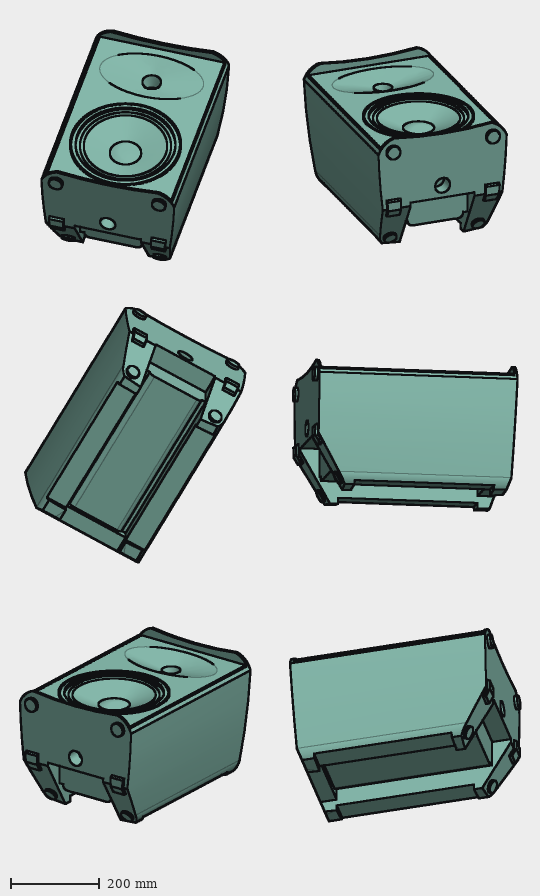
import cadquery as cq
import math

length = 455.0
height = 289.0
width = 312.0
half_width = width / 2
shoulder_z = 254.0
crest_x = 118.5
crest_dip = 7.5
hip_x = 132.5
hip_z = 31.5
sole_x = 121.5
sole_z = 5.0

shoulder_bulge = (141.0, 276.7)
side_bulge = (148.5, 141.5)
hip_bulge = (128.5, 15.2)

baffle_z = 266.0
front_plate = 4.5
rear_plate = 6.0
baffle_half_width = 146.5
groove_outer_x = 149.0
groove_depth = 2.5

slope_top_z = 116.0
slope_angle = 30.0
slope_run = math.tan(math.radians(slope_angle))
rear_taper = 9.5
rear_foot_taper = 11.0
rear_foot_lift = 1.5

channel_half_width = 77.5
channel_roof_z = 59.0
bridge_z = 29.5
rib_half_width = 67.5
rib_z = 46.0
rib_radius = 12.5
connector_top_z = 124.5
connector_depth = 44.0
front_foot_end = 86.5
rear_foot_start = 406.5
rail_z = 13.5

woofer_y = 147.0
frame_radius = 125.5
frame_gap = 3.0
frame_gap_depth = 3.0
surround_outer = 112.5
surround_middle = 103.0
surround_inner = 94.2
surround_depth = 6.5
roll_rise = 4.0
cap_radius = 35.5
cap_depth = 29.5
cap_rise = 9.2

horn_y = 363.5
mouth_half_x = 120.5
mouth_half_y = 64.5
throat_radius = 21.3
throat_depth = 19.5
throat_end_radius = 9.5
throat_length = 27.5

port_z = 154.5
port_radius = 18.0
port_depth = 37.0
top_pad_height = 7.0
top_pad_x = 121.0
top_pad_z = 256.5
top_pad_radius = 15.5
low_pad_x = 107.0
low_pad_z = 23.0
low_pad_radius = 15.0
low_pad_height = 5.5
bent_pad_height = 6.0
bent_pad_inner_x = 103.0
bent_pad_outer_x = 136.8
bent_pad_side_taper = 3.5
bent_pad_top_z = 139.0
bent_pad_low_z = 97.0
bent_pad_bevel = 3.2


def box(x0, x1, y0, y1, z0, z1):
    return cq.Workplane("XY").box(x1 - x0, y1 - y0, z1 - z0, centered=False).translate((x0, y0, z0))


def slope_y(z):
    """Y of the sloped lower front at height z."""
    return (slope_top_z - z) * slope_run


def cross_section():
    """Outline of the end plates over the whole length: the right half plus its mirror image."""
    crest_middle = (0, height - crest_dip)
    crest_radius = (crest_x ** 2 + crest_dip ** 2) / (2 * crest_dip)
    crest_mid_z = height - crest_dip + crest_radius - math.sqrt(crest_radius ** 2 - (crest_x / 2) ** 2)
    half = (
        cq.Workplane("XZ")
        .moveTo(*crest_middle)
        .threePointArc((crest_x / 2, crest_mid_z), (crest_x, height))
        .threePointArc(shoulder_bulge, (half_width, shoulder_z))
        .threePointArc(side_bulge, (hip_x, hip_z))
        .threePointArc(hip_bulge, (sole_x, sole_z))
        .lineTo(channel_half_width, 0)
        .lineTo(0, 0)
        .close()
        .extrude(-length)
    )
    return half.union(half.mirror("YZ"))


def side_profile():
    """Side outline: sloped lower front, tapered rear."""
    return (
        cq.Workplane("YZ")
        .polyline([
            (0, height),
            (0, slope_top_z),
            (slope_y(0), 0),
            (rear_foot_start, 0),
            (length - rear_taper - rear_foot_taper, rear_foot_lift),
            (length - rear_taper, hip_z),
            (length, shoulder_z),
            (length, height),
        ])
        .close()
        .extrude(half_width, both=True)
    )


def underside_cuts():
    """Central channel with a rounded rib on its roof, connector recess and gaps between the corner feet."""
    channel = box(-channel_half_width, channel_half_width, 0, rear_foot_start, 0, channel_roof_z)
    rib = (
        box(-rib_half_width, rib_half_width, connector_depth, rear_foot_start, rib_z, channel_roof_z)
        .edges("|Y and <Z")
        .fillet(rib_radius)
    )
    bridge_gap = box(-channel_half_width, channel_half_width, 0, length, 0, bridge_z)
    connector = box(-channel_half_width, channel_half_width, 0, connector_depth, 0, connector_top_z)
    rail_gap = box(-half_width, half_width, front_foot_end, rear_foot_start, 0, rail_z)
    return channel.cut(rib).union(bridge_gap).union(connector).union(rail_gap)


def baffle_cuts():
    """Space above the baffle, with a groove between it and each side wall."""
    y0 = front_plate
    y1 = length - rear_plate
    space = box(-groove_outer_x, groove_outer_x, y0, y1, baffle_z, height)
    for x0, x1 in ((-groove_outer_x, -baffle_half_width), (baffle_half_width, groove_outer_x)):
        space = space.union(box(x0, x1, y0, y1, baffle_z - groove_depth, height))
    return space


def woofer_cut():
    """Surround rolls, cone and domed dust cap, turned about the woofer axis."""
    roll_z = roll_rise - surround_depth
    outer_roll_radius = (surround_outer + surround_middle) / 2
    inner_roll_radius = (surround_middle + surround_inner) / 2
    cap_top_z = cap_rise - cap_depth
    cap_sphere_radius = (cap_radius ** 2 + cap_rise ** 2) / (2 * cap_rise)
    cap_mid_z = cap_top_z - cap_sphere_radius + math.sqrt(cap_sphere_radius ** 2 - (cap_radius / 2) ** 2)
    cavity = (
        cq.Workplane("XZ")
        .moveTo(0, 0)
        .lineTo(surround_outer, 0)
        .lineTo(surround_outer, -surround_depth)
        .threePointArc((outer_roll_radius, roll_z), (surround_middle, -surround_depth))
        .threePointArc((inner_roll_radius, roll_z), (surround_inner, -surround_depth))
        .lineTo(cap_radius, -cap_depth)
        .threePointArc((cap_radius / 2, cap_mid_z), (0, cap_top_z))
        .close()
        .revolve(360, (0, 0, 0), (0, 1, 0))
    )
    gap = (
        cq.Workplane("XY")
        .circle(frame_radius)
        .circle(frame_radius - frame_gap)
        .extrude(-frame_gap_depth)
    )
    return cavity.union(gap).translate((0, woofer_y, baffle_z))


def horn_cut():
    """Elliptical mouth narrowing to a round, tapered throat."""
    mouth = (
        cq.Workplane("XY")
        .ellipse(mouth_half_x, mouth_half_y)
        .workplane(offset=-throat_depth)
        .circle(throat_radius)
        .loft(ruled=True)
    )
    throat = (
        cq.Workplane("XY", origin=(0, 0, -throat_depth))
        .circle(throat_radius)
        .workplane(offset=-throat_length)
        .circle(throat_end_radius)
        .loft(ruled=True)
    )
    return mouth.union(throat).translate((0, horn_y, baffle_z))


def port_cut():
    """Blind round port in the front end."""
    return cq.Workplane("XZ", origin=(0, 0, port_z)).circle(port_radius).extrude(-port_depth)


def top_pad():
    """Round pad on an upper corner of the front end."""
    return cq.Workplane("XZ", origin=(top_pad_x, 0, top_pad_z)).circle(top_pad_radius).extrude(top_pad_height)


def low_pad():
    """Round pad standing square on the sloped face."""
    tilt = math.radians(slope_angle)
    face = cq.Plane(
        origin=(low_pad_x, slope_y(low_pad_z), low_pad_z),
        xDir=(1, 0, 0),
        normal=(0, -math.cos(tilt), -math.sin(tilt)),
    )
    return cq.Workplane(face).circle(low_pad_radius).extrude(low_pad_height)


def bent_pad():
    """Pad wrapped around the edge between the front end and the slope, tapered like the cabinet side."""
    bend_z = slope_top_z - bent_pad_height * math.tan(math.radians(slope_angle / 2))
    strip = (
        cq.Workplane("YZ", origin=(bent_pad_inner_x, 0, 0))
        .polyline([
            (0, bent_pad_top_z),
            (-bent_pad_height, bent_pad_top_z - bent_pad_bevel),
            (-bent_pad_height, bend_z),
            (-bent_pad_height + (bend_z - bent_pad_low_z) * slope_run, bent_pad_low_z),
            (slope_y(bent_pad_low_z), bent_pad_low_z),
            (0, slope_top_z),
        ])
        .close()
        .extrude(bent_pad_outer_x - bent_pad_inner_x)
    )
    trim = (
        cq.Workplane("XZ", origin=(0, -bent_pad_height, 0))
        .polyline([
            (bent_pad_inner_x, bent_pad_top_z),
            (bent_pad_outer_x, bent_pad_top_z),
            (bent_pad_outer_x - bent_pad_side_taper, bent_pad_low_z),
            (bent_pad_inner_x, bent_pad_low_z),
        ])
        .close()
        .extrude(-bent_pad_height - slope_y(bent_pad_low_z))
    )
    return strip.intersect(trim)


cabinet = cross_section().intersect(side_profile())
for cutter in (underside_cuts(), baffle_cuts(), woofer_cut(), horn_cut(), port_cut()):
    cabinet = cabinet.cut(cutter)
for pad in (top_pad(), low_pad(), bent_pad()):
    cabinet = cabinet.union(pad).union(pad.mirror("YZ"))

result = cabinet